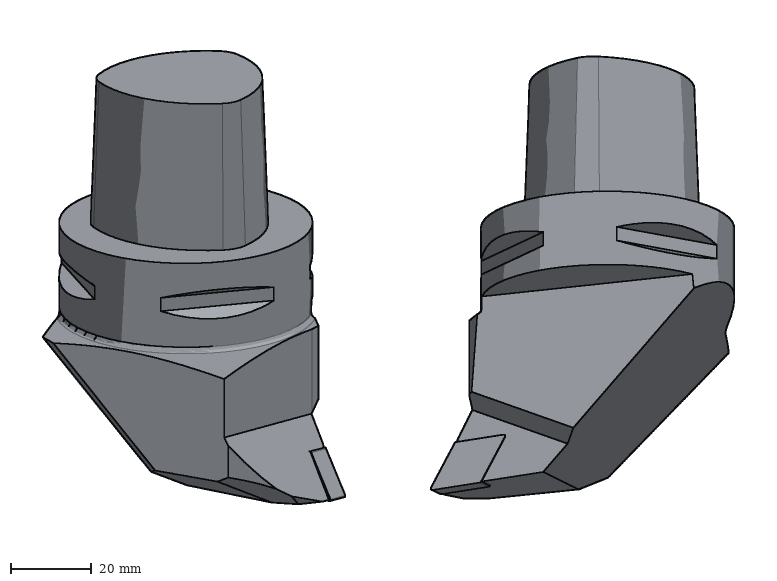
import cadquery as cq
import math


SHANK_HEIGHT = 38.0
LOBE_REACH = 23.7
SIDE_REACH = 20.5
LOBE_RADIUS = 8.3
SHANK_INSET = 1.4
SHANK_TAPER = math.degrees(math.atan(SHANK_INSET / SHANK_HEIGHT))

FLANGE_RADIUS = 63.0 / 2
FLANGE_BOTTOM = -22.0
GROOVE_COUNT = 4
GROOVE_Z = -11.0
GROOVE_FLOOR_WIDTH = 3.5
GROOVE_FLOOR_REACH = 27.9
GROOVE_OVERRUN = 1.0
GROOVE_SLOPE = math.tan(math.radians(30))

NECK_BLEND = 1.3
SHOULDER_SLOPE = 0.25
STOCK_RADIUS = 61.8
STOCK_BOTTOM = -72.1
SPAN = 309.0

FRONT_Y = -33.5
UNDERCUT_TOP = (-31.5, 0, -17.4)
UNDERCUT_BOTTOM = (15.6, 0, -63.3)
BELLY_POINT = (27.3, FRONT_Y, -53.6)
BELLY_DEEP_POINT = (35.1, -19.6, -62.0)
SIDE_WALL_REAR = (33.7, 3.6, -45.8)
SIDE_WALL_FRONT = (29.1, FRONT_Y, -41.5)
FLARE_FRONT = (30.1, FRONT_Y, -43.3)
NOSE_WALL_START = (30.3, FRONT_Y, -52.0)
NOSE_WALL_MIDDLE = (37.0, -25.9)
NOSE_WALL_END = (40.3, -20.6, -58.7)
FLARE_TIP = (44.3, 0.1, -64.2)
TIP_WALL_REAR = (44.6, -6.2, -63.9)
TIP_WALL_LOW = (40.3, -16.1, -62.7)
RELIEF_LEFT_REAR = (15.6, 3.8, -63.3)
RELIEF_LEFT_FRONT = (13.1, -22.8, -60.4)
EDGE_CHAMFER_REAR = (-23.7, -30.6, -25.0)
EDGE_CHAMFER_TOP = (-19.1, FRONT_Y, -25.0)
EDGE_CHAMFER_BOTTOM = (9.6, FRONT_Y, -53.6)
REAR_CHAMFER_OUTER = (33.7, 7.1, FLANGE_BOTTOM)
REAR_CHAMFER_INNER = (30.7, 10.7, FLANGE_BOTTOM)

RAKE_NORMAL = cq.Vector(12.2, 100, -11.4).normalized()
BACK_POINT = (6.4, 10.1, -54.4)
RAKE_STEP_POINT = (9.1, 5.3, -56.9)
REAR_RELIEF_Z = -19.1

INSERT_TIP = (45.4, 0.1, -65.0)
INSERT_SIDE = 13.6
INSERT_THICKNESS = 6.4
INSERT_ANGLE = 55.0
INSERT_EDGE_TILT = 3.5
INSERT_TIP_RADIUS = 0.4


def half_space(point, normal):
    """Large block filling the side of a plane that its normal points to."""
    plane = cq.Plane(origin=point, normal=cq.Vector(normal).toTuple())
    return cq.Workplane(plane).rect(SPAN, SPAN).extrude(SPAN)


def beyond(a, b, c, side):
    """Half space bounded by the plane through three points, on the given side."""
    origin = cq.Vector(a)
    normal = (cq.Vector(b) - origin).cross(cq.Vector(c) - origin)
    if normal.dot(cq.Vector(side)) < 0:
        normal = normal * -1
    return half_space(a, normal.normalized())


def lifted(point, dz=1.0):
    """The point moved straight up, to define vertical planes."""
    return (point[0], point[1], point[2] + dz)


def polar(radius, degrees, center=(0, 0)):
    angle = math.radians(degrees)
    return (center[0] + radius * math.cos(angle), center[1] + radius * math.sin(angle))


def make_shank():
    lobe_center_reach = LOBE_REACH - LOBE_RADIUS
    gap = SIDE_REACH - LOBE_RADIUS
    side_offset = (lobe_center_reach**2 - gap**2) / (2 * gap - lobe_center_reach)
    lobe = polar(lobe_center_reach, 90)
    side_center = polar(side_offset, -30)
    tangent = math.degrees(math.atan2(lobe[1] - side_center[1], lobe[0] - side_center[0]))
    half_angle = tangent - 90

    outline = cq.Workplane("XY").moveTo(*polar(LOBE_RADIUS, 90 - half_angle, lobe))
    for direction in (90, 210, 330):
        center = polar(lobe_center_reach, direction)
        next_center = polar(lobe_center_reach, direction + 120)
        outline = outline.threePointArc(
            polar(LOBE_REACH, direction), polar(LOBE_RADIUS, direction + half_angle, center)
        )
        outline = outline.threePointArc(
            polar(SIDE_REACH, direction + 60),
            polar(LOBE_RADIUS, direction + 120 - half_angle, next_center),
        )
    return outline.close().extrude(SHANK_HEIGHT, taper=SHANK_TAPER)


def make_stock():
    """Flange and conical shoulder, before the head is shaped."""
    blend_center = (FLANGE_RADIUS + NECK_BLEND, FLANGE_BOTTOM)
    tangent_angle = 270 - math.degrees(math.atan(SHOULDER_SLOPE))
    blend_middle = polar(NECK_BLEND, (180 + tangent_angle) / 2, blend_center)
    blend_end = polar(NECK_BLEND, tangent_angle, blend_center)
    rim_z = blend_end[1] - SHOULDER_SLOPE * (STOCK_RADIUS - blend_end[0])
    return (
        cq.Workplane("XZ")
        .lineTo(FLANGE_RADIUS, 0)
        .lineTo(FLANGE_RADIUS, FLANGE_BOTTOM)
        .threePointArc(blend_middle, blend_end)
        .lineTo(STOCK_RADIUS, rim_z)
        .lineTo(STOCK_RADIUS, STOCK_BOTTOM)
        .lineTo(0, STOCK_BOTTOM)
        .close()
        .revolve(360, (0, 0, 0), (0, 1, 0))
    )


def make_groove(direction):
    """Gripper groove with a flat floor and flared walls."""
    depth = FLANGE_RADIUS - GROOVE_FLOOR_REACH + GROOVE_OVERRUN
    half_floor = GROOVE_FLOOR_WIDTH / 2
    half_mouth = half_floor + depth * GROOVE_SLOPE
    mouth = GROOVE_FLOOR_REACH + depth
    return (
        cq.Workplane("XZ")
        .polyline([
            (GROOVE_FLOOR_REACH, GROOVE_Z - half_floor),
            (mouth, GROOVE_Z - half_mouth),
            (mouth, GROOVE_Z + half_mouth),
            (GROOVE_FLOOR_REACH, GROOVE_Z + half_floor),
        ])
        .close()
        .extrude(FLANGE_RADIUS, both=True)
        .rotate((0, 0, 0), (0, 0, 1), direction)
    )


def cut_outer_faces(body):
    """Front face, slanted undercut and the chamfer between them."""
    body = body.cut(half_space((0, FRONT_Y, 0), (0, -1, 0)))
    across = (UNDERCUT_TOP[0], 1, UNDERCUT_TOP[2])
    body = body.cut(beyond(UNDERCUT_TOP, UNDERCUT_BOTTOM, across, (-1, 0, -1)))
    edge_chamfer = beyond(
        EDGE_CHAMFER_REAR, EDGE_CHAMFER_TOP, EDGE_CHAMFER_BOTTOM, (-1, -1, -1)
    )
    return body.cut(edge_chamfer)


def cut_side(body):
    """Vertical +X wall that flares out to the cutting tip, with a rear corner chamfer."""
    outside = beyond(SIDE_WALL_REAR, SIDE_WALL_FRONT, lifted(SIDE_WALL_REAR), (1, 0, 0))
    above_flare = beyond(SIDE_WALL_REAR, FLARE_TIP, FLARE_FRONT, (1, 0, 1))
    body = body.cut(outside.intersect(above_flare))
    body = body.cut(half_space(SIDE_WALL_REAR, (1, 0, 0)).intersect(above_flare))

    corner = REAR_CHAMFER_OUTER
    chamfer = beyond(corner, REAR_CHAMFER_INNER, lifted(corner), (1, 1, 0))
    below_flange = half_space((0, 0, FLANGE_BOTTOM), (0, 0, -1))
    return body.cut(chamfer.intersect(below_flange))


def cut_underside(body):
    """Sloped belly, corner facet, bottom relief and leaning wall beside the tip."""
    belly = beyond(BELLY_POINT, BELLY_DEEP_POINT, (0, FRONT_Y, BELLY_POINT[2]), (0, -1, -1))
    facet = beyond(BELLY_POINT, BELLY_DEEP_POINT, NOSE_WALL_START, (0, -1, -1))
    relief = beyond(RELIEF_LEFT_REAR, RELIEF_LEFT_FRONT, BELLY_DEEP_POINT, (0, 0, -1))
    tip_wall = beyond(NOSE_WALL_END, TIP_WALL_REAR, TIP_WALL_LOW, (1, 0, 0))
    return body.cut(belly).cut(facet).cut(relief).cut(tip_wall)


def cut_nose_wall(body):
    """Upright rounded wall between the front face and the tip."""
    waste = (
        cq.Workplane("XY")
        .workplane(offset=STOCK_BOTTOM)
        .moveTo(*NOSE_WALL_START[:2])
        .threePointArc(NOSE_WALL_MIDDLE, NOSE_WALL_END[:2])
        .lineTo(STOCK_RADIUS, NOSE_WALL_END[1])
        .lineTo(STOCK_RADIUS, -STOCK_RADIUS)
        .lineTo(NOSE_WALL_START[0], -STOCK_RADIUS)
        .close()
        .extrude(FLANGE_BOTTOM - STOCK_BOTTOM)
    )
    return body.cut(waste)


def cut_rear(body):
    """Back face under the flange and the deeper step down to the rake face."""
    below_relief = half_space((0, 0, REAR_RELIEF_Z), (0, 0, -1))
    body = body.cut(half_space(BACK_POINT, RAKE_NORMAL).intersect(below_relief))
    below_step = beyond(RAKE_STEP_POINT, BACK_POINT, SIDE_WALL_REAR, (0, 0, -1))
    return body.cut(half_space(RAKE_STEP_POINT, RAKE_NORMAL).intersect(below_step))


def make_insert():
    along = cq.Vector(-1, 0, math.tan(math.radians(INSERT_EDGE_TILT)))
    in_plane = along - RAKE_NORMAL * along.dot(RAKE_NORMAL)
    plane = cq.Plane(origin=INSERT_TIP, xDir=in_plane.toTuple(), normal=RAKE_NORMAL.toTuple())
    upper = polar(INSERT_SIDE, INSERT_ANGLE)
    return (
        cq.Workplane(plane)
        .polyline([(0, 0), (INSERT_SIDE, 0), (INSERT_SIDE + upper[0], upper[1]), upper])
        .close()
        .extrude(-INSERT_THICKNESS)
        .edges(cq.selectors.ParallelDirSelector(RAKE_NORMAL))
        .fillet(INSERT_TIP_RADIUS)
    )


def make_holder(insert):
    body = make_stock()
    for index in range(GROOVE_COUNT):
        body = body.cut(make_groove(45 + index * 360 / GROOVE_COUNT))
    body = cut_outer_faces(body)
    body = cut_side(body)
    body = cut_underside(body)
    body = cut_nose_wall(body)
    body = cut_rear(body)
    return body.union(make_shank()).cut(insert)


insert = make_insert()
holder = make_holder(insert)
result = cq.Compound.makeCompound([holder.solids().val(), insert.solids().val()])